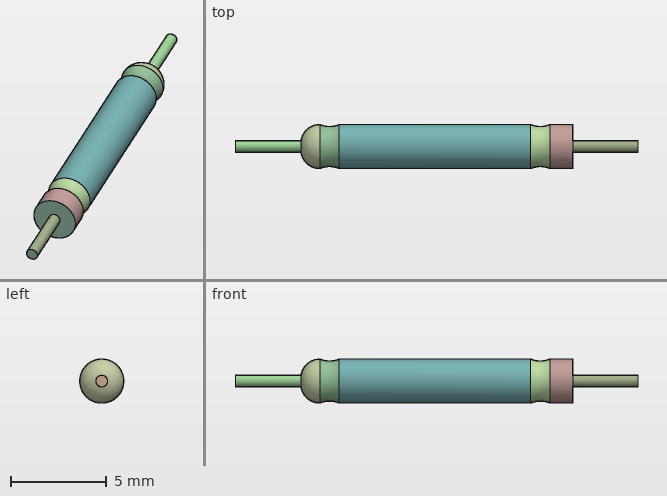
import cadquery as cq
import math

total_length = 21.0
housing_diameter = 2.3
housing_length = 14.2
nose_radius = 1.0
groove_width = 1.0
groove_depth = 0.1
collar_length = 1.2
lead_diameter = 0.6
socket_depth = nose_radius

housing_radius = housing_diameter / 2
lead_radius = lead_diameter / 2
lead_length = (total_length - housing_length) / 2 + socket_depth
housing_start = -housing_length / 2
housing_end = housing_length / 2
nose_end = housing_start + nose_radius
nose_flat_radius = housing_radius - nose_radius
front_groove_end = nose_end + groove_width
rear_groove_end = housing_end - collar_length
rear_groove_start = rear_groove_end - groove_width


def add_nose(profile):
    """Continue a profile with the quarter arc that rounds the -X end."""
    diagonal = nose_radius * math.sqrt(0.5)
    arc_middle = (nose_end - diagonal, nose_flat_radius + diagonal)
    return profile.threePointArc(arc_middle, (nose_end, housing_radius))


def add_groove(profile, groove_end):
    """Continue a profile with a shallow concave arc that ends at groove_end."""
    groove_bottom = (groove_end - groove_width / 2, housing_radius - groove_depth)
    return profile.threePointArc(groove_bottom, (groove_end, housing_radius))


def make_lead(start):
    """Round wire along X, beginning at the given x."""
    return cq.Workplane("YZ", origin=(start, 0, 0)).circle(lead_radius).extrude(lead_length)


def make_housing(leads):
    """Rod with a rounded nose, two shallow grooves and a blind socket for each lead."""
    profile = cq.Workplane("XY").moveTo(housing_start, 0).lineTo(housing_start, nose_flat_radius)
    profile = add_nose(profile)
    profile = add_groove(profile, front_groove_end)
    profile = profile.lineTo(rear_groove_start, housing_radius)
    profile = add_groove(profile, rear_groove_end)
    profile = profile.lineTo(housing_end, housing_radius).lineTo(housing_end, 0).close()
    housing = profile.revolve(360, (0, 0, 0), (1, 0, 0))

    for lead in leads:
        housing = housing.cut(lead)
    return housing


lead_starts = [-total_length / 2, total_length / 2 - lead_length]
leads = [make_lead(start) for start in lead_starts]
housing = make_housing(leads)

result = cq.Compound.makeCompound([housing.val(), *[lead.val() for lead in leads]])